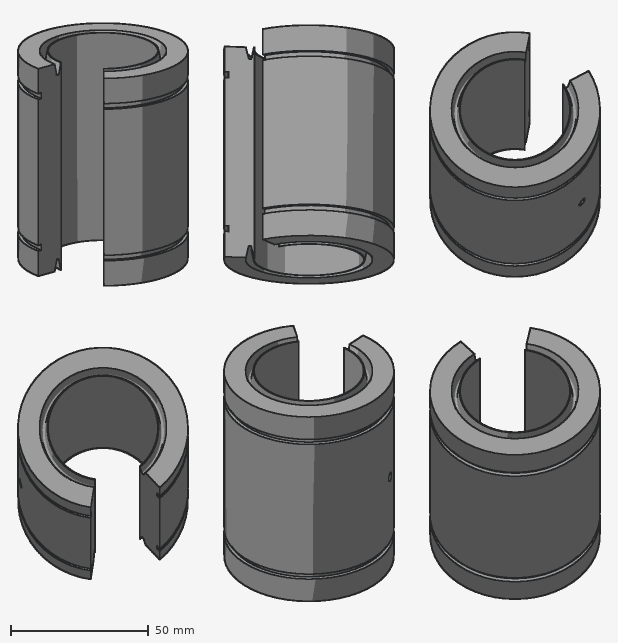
import cadquery as cq
import math

length = 80.0
outer_radius = 31.0
bore_radius = 20.0
opening_half_angle = 25.0

ring_groove_radius = 29.5
ring_groove_width = 2.15
ring_groove_outer_span = 60.6

seal_mouth_outer_radius = 23.15
lip_thickness = 0.3
seal_mouth_inner_radius = bore_radius + lip_thickness
seal_bottom_center_radius = 21.7
seal_bottom_round = 0.6
seal_depth = 4.5

hole_radius = 1.6
hole_offset_y = 1.5
hole_depth = 3.0
drill_point_angle = 118.0

clearance = 1.0


def make_sleeve():
    """Plain tube standing on the XY plane."""
    return cq.Workplane("XY").circle(outer_radius).circle(bore_radius).extrude(length)


def ring_groove(bottom_z):
    """Ring of material removed from the outside, starting at bottom_z."""
    return (
        cq.Workplane("XY", origin=(0, 0, bottom_z))
        .circle(outer_radius + clearance)
        .circle(ring_groove_radius)
        .extrude(ring_groove_width)
    )


def seal_groove():
    """Tapered annular groove in the top end face."""
    round_start_z = length - seal_depth + seal_bottom_round
    return (
        cq.Workplane("XZ")
        .moveTo(seal_mouth_inner_radius, length)
        .lineTo(seal_mouth_outer_radius, length)
        .lineTo(seal_bottom_center_radius + seal_bottom_round, round_start_z)
        .threePointArc(
            (seal_bottom_center_radius, length - seal_depth),
            (seal_bottom_center_radius - seal_bottom_round, round_start_z),
        )
        .close()
        .revolve(360, (0, 0, 0), (0, 1, 0))
    )


def opening_wedge():
    """Wedge toward -Y, bounded by two radial planes, that opens the sleeve."""
    reach = 2 * outer_radius
    half_width = reach * math.tan(math.radians(opening_half_angle))
    return (
        cq.Workplane("XY")
        .polyline([(0, 0), (-half_width, -reach), (half_width, -reach)])
        .close()
        .extrude(length)
    )


def locating_hole():
    """Drill-shaped body entering at mid-length: a cylinder with a conical tip."""
    surface_x = -math.sqrt(outer_radius**2 - hole_offset_y**2)
    tip_length = hole_radius / math.tan(math.radians(drill_point_angle / 2))
    inward = cq.Vector(1, 0, 0)
    start = cq.Vector(surface_x - clearance, hole_offset_y, length / 2)
    shank_end = cq.Vector(surface_x + hole_depth, hole_offset_y, length / 2)
    shank = cq.Solid.makeCylinder(hole_radius, hole_depth + clearance, start, inward)
    tip = cq.Solid.makeCone(hole_radius, 0, tip_length, shank_end, inward)
    return cq.Workplane(shank.fuse(tip))


end_margin = (length - ring_groove_outer_span) / 2

result = make_sleeve()
for groove_z in (end_margin, length - end_margin - ring_groove_width):
    result = result.cut(ring_groove(groove_z))

top_seal = seal_groove()
bottom_seal = top_seal.mirror("XY", (0, 0, length / 2))
for groove in (top_seal, bottom_seal):
    result = result.cut(groove)

result = result.cut(opening_wedge())
result = result.cut(locating_hole())